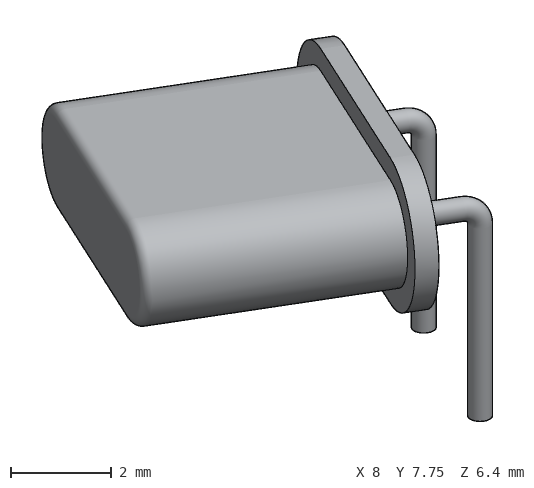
import cadquery as cq

can_width = 7.0
can_height = 2.3
can_length = 5.5
can_edge_radius = 0.2
flange_margin = 0.5
flange_thickness = 0.5

lead_diameter = 0.5
lead_pitch = 3.8
lead_bend_radius = 0.375
lead_setback = 1.5
lead_drop = 4.75

flange_width = can_width + 2 * flange_margin
flange_height = can_height + 2 * flange_margin


def stadium(width, height, length):
    """Stadium prism running from the Y = 0 plane toward -Y."""
    return cq.Workplane("XZ").slot2D(width, height).extrude(length)


def make_can():
    """Can with its closed end at -Y rounded."""
    total_length = flange_thickness + can_length
    can = stadium(can_width, can_height, total_length)
    return can.faces("<Y").edges().fillet(can_edge_radius)


def make_lead(x):
    """Round lead leaving the flange toward +Y and bending down to -Z."""
    start = -flange_thickness / 2
    path = (
        cq.Workplane("YZ", origin=(x, 0, 0))
        .moveTo(start, 0)
        .lineTo(lead_setback - lead_bend_radius, 0)
        .tangentArcPoint((lead_setback, -lead_bend_radius), relative=False)
        .lineTo(lead_setback, -lead_drop)
    )
    profile = cq.Workplane("XZ", origin=(x, start, 0)).circle(lead_diameter / 2)
    return profile.sweep(path)


flange = stadium(flange_width, flange_height, flange_thickness)
result = flange.union(make_can())
for lead_x in (-lead_pitch / 2, lead_pitch / 2):
    result = result.union(make_lead(lead_x))